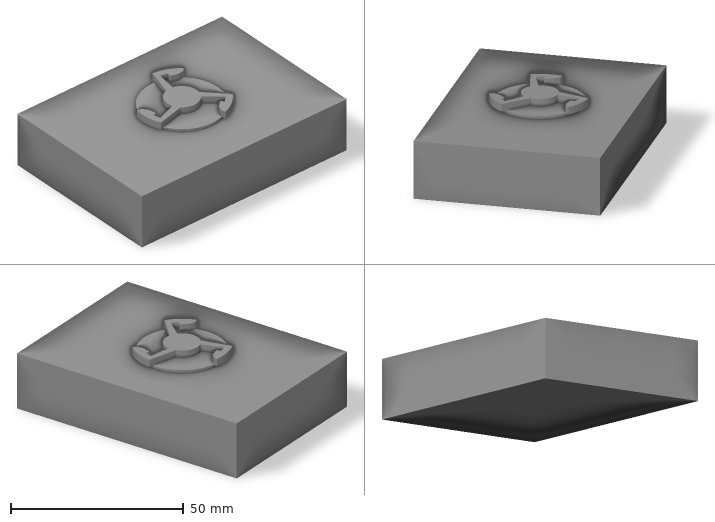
import cadquery as cq
import math

block_x = 56.0
block_y = 78.0
total_height = 21.4

disc_diameter = 26.8
disc_height = 1.1
spider_height = 2.35
block_height = total_height - disc_height - spider_height

hub_radius = 5.5
outer_radius = 14.8
hook_inner_radius = 12.6
nose_start_radius = 11.8
nose_shoulder_radius = 11.4
nose_radius = 11.3
hook_flank_radius = 11.55
hook_belly_radius = 12.0
hook_end_radius = disc_diameter / 2

arm_count = 3
spoke_outer_root = 75.6
spoke_outer_tip = 55.2
spoke_inner_root = 49.3
spoke_inner_tip = 49.9
hook_step = 38.4
nose_shoulder = 37.8
nose_tip = 35.5
hook_flank = 30.0
hook_belly = 23.7
hook_end = 18.1


def polar(radius, degrees):
    """X and Y of a point given by its radius and direction."""
    angle = math.radians(degrees)
    return radius * math.cos(angle), radius * math.sin(angle)


def make_arm():
    """One tapered spoke carrying a curved hook at its end."""
    outer_middle = (spoke_outer_tip + hook_end) / 2
    inner_middle = (spoke_inner_tip + hook_step) / 2
    return (
        cq.Workplane("XY")
        .moveTo(0, 0)
        .lineTo(*polar(hub_radius, spoke_outer_root))
        .lineTo(*polar(outer_radius, spoke_outer_tip))
        .threePointArc(polar(outer_radius, outer_middle), polar(outer_radius, hook_end))
        .lineTo(*polar(hook_end_radius, hook_end))
        .lineTo(*polar(hook_belly_radius, hook_belly))
        .threePointArc(polar(hook_flank_radius, hook_flank), polar(nose_radius, nose_tip))
        .threePointArc(polar(nose_shoulder_radius, nose_shoulder), polar(nose_start_radius, hook_step))
        .lineTo(*polar(hook_inner_radius, hook_step))
        .threePointArc(polar(hook_inner_radius, inner_middle), polar(hook_inner_radius, spoke_inner_tip))
        .lineTo(*polar(hub_radius, spoke_inner_root))
        .close()
        .extrude(spider_height)
    )


def make_spider():
    """Central hub with equally spaced arms."""
    spider = cq.Workplane("XY").circle(hub_radius).extrude(spider_height)
    arm = make_arm()
    for index in range(arm_count):
        turn = index * 360 / arm_count
        spider = spider.union(arm.rotate((0, 0, 0), (0, 0, 1), turn))
    return spider


block = cq.Workplane("XY").rect(block_x, block_y).extrude(block_height)
disc = (
    cq.Workplane("XY")
    .workplane(offset=block_height)
    .circle(disc_diameter / 2)
    .extrude(disc_height)
)
spider = make_spider().translate((0, 0, block_height + disc_height))

result = block.union(disc).union(spider)